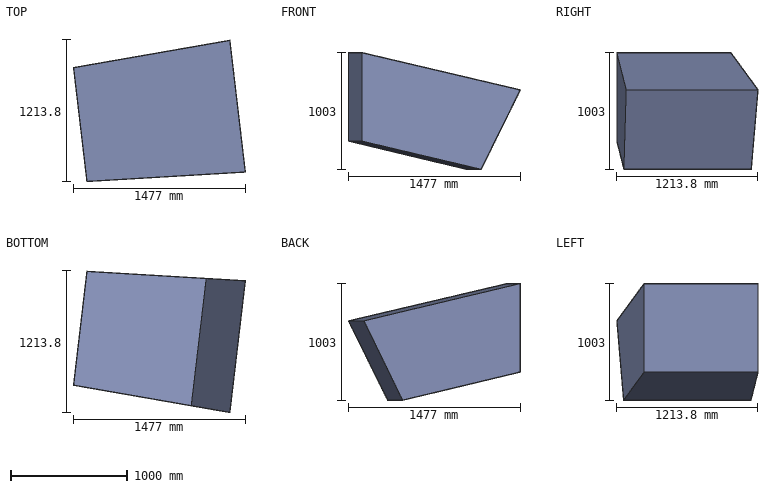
import cadquery as cq

length = 1477.0
width = 1214.0
height = 1003.0

left_front = (115.0, 0.0)
left_back = (0.0, 979.0)
right_front = (length, 81.0)
right_back = (1345.0, width)

left_face_bottom = 242.0
right_edge_top = 682.0
bottom_reach = 1025.0

edge_x = left_back[0] - left_front[0]
edge_y = left_back[1] - left_front[1]
edge_length = (edge_x**2 + edge_y**2) ** 0.5
across_x = edge_y / edge_length
across_y = -edge_x / edge_length

top_reach = (
    (right_front[0] - left_front[0]) * across_x
    + (right_front[1] - left_front[1]) * across_y
)


def footprint_prism():
    """Vertical prism giving the flat front, back and left sides."""
    corners = [left_front, right_front, right_back, left_back]
    overshoot = 1.1
    for index, start in ((1, left_front), (2, left_back)):
        end = corners[index]
        corners[index] = (
            start[0] + overshoot * (end[0] - start[0]),
            start[1] + overshoot * (end[1] - start[1]),
        )
    return cq.Workplane("XY").polyline(corners).close().extrude(height)


def profile_prism():
    """Prism along the left face giving the sloped top, bottom and right side."""
    plane = cq.Plane(
        origin=(left_front[0], left_front[1], 0),
        xDir=(across_x, across_y, 0),
        normal=(across_y, -across_x, 0),
    )
    outline = [
        (0, left_face_bottom),
        (bottom_reach, 0),
        (top_reach, right_edge_top),
        (0, height),
    ]
    return cq.Workplane(plane).polyline(outline).close().extrude(2 * width, both=True)


result = footprint_prism().intersect(profile_prism())